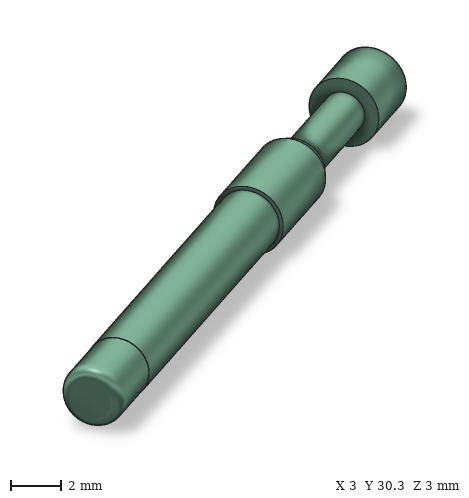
import cadquery as cq

total_length = 30.3
head_diameter = 3.0
head_length = 2.97
rod_diameter = 1.8
collar_diameter = 3.0
collar_length = 5.03
collar_taper_length = 0.45
collar_taper_diameter = 2.6
collar_rear_offset = 8.25
body_diameter = 2.67
cap_diameter = 2.65
cap_length = 3.0
tip_fillet = 0.45

tip_y = -total_length / 2
cap_end_y = tip_y + cap_length
head_end_y = total_length / 2
head_start_y = head_end_y - head_length
collar_end_y = head_end_y - collar_rear_offset
collar_start_y = collar_end_y - collar_length


def cylinder(diameter, start_y, end_y):
    """Solid cylinder on the Y axis between two stations."""
    base = cq.Workplane("XZ", origin=(0, start_y, 0))
    return base.circle(diameter / 2).extrude(start_y - end_y)


def tapered_collar():
    """Collar narrowing to a smaller rim on the side facing the head."""
    taper_start_y = collar_end_y - collar_taper_length
    profile = (
        cq.Workplane("XY")
        .moveTo(0, collar_start_y)
        .lineTo(collar_diameter / 2, collar_start_y)
        .lineTo(collar_diameter / 2, taper_start_y)
        .lineTo(collar_taper_diameter / 2, collar_end_y)
        .lineTo(0, collar_end_y)
        .close()
    )
    return profile.revolve(360, (0, 0, 0), (0, 1, 0))


cap = cylinder(cap_diameter, tip_y, cap_end_y).faces("<Y").edges().fillet(tip_fillet)
body = cylinder(body_diameter, cap_end_y, collar_start_y)
rod = cylinder(rod_diameter, collar_end_y, head_start_y)
head = cylinder(head_diameter, head_start_y, head_end_y)

result = cap.union(body).union(tapered_collar()).union(rod).union(head)